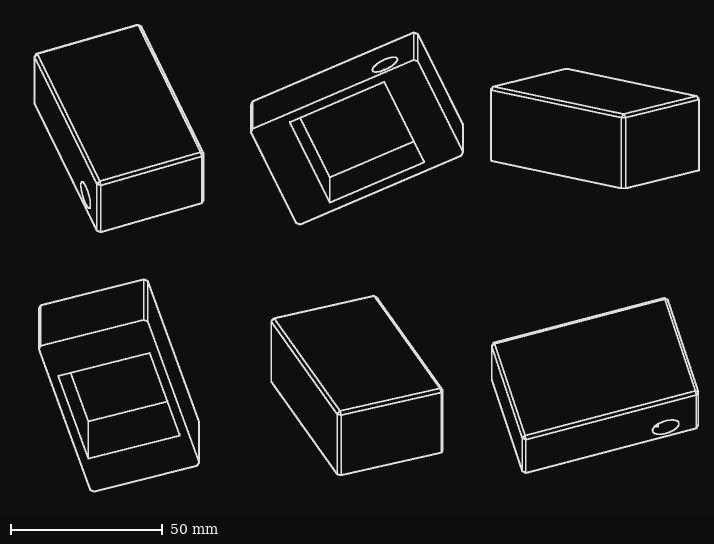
import cadquery as cq

length = 60.5
width = 37.5
height = 25.0
edge_chamfer = 1.0

hole_diameter = 9.0
hole_depth = 12.1
hole_x = 18.75
hole_z = 6.65

wall = 3.0
cavity_length = 34.25
cavity_width = width - 2 * wall
cavity_height = height - wall


def make_block():
    """Block chamfered along the top and the four upright edges."""
    block = cq.Workplane("XY").box(length, width, height, centered=(True, True, False))
    return block.edges("|Z or >Z").chamfer(edge_chamfer)


def make_cavity():
    """Rectangular pocket that hollows the middle from below."""
    return cq.Workplane("XY").box(cavity_length, cavity_width, cavity_height, centered=(True, True, False))


def make_hole():
    """Cylinder running from the front face toward +Y."""
    front = cq.Workplane("XZ", origin=(hole_x, -width / 2, hole_z))
    return front.circle(hole_diameter / 2).extrude(-hole_depth)


result = make_block().cut(make_cavity()).cut(make_hole())